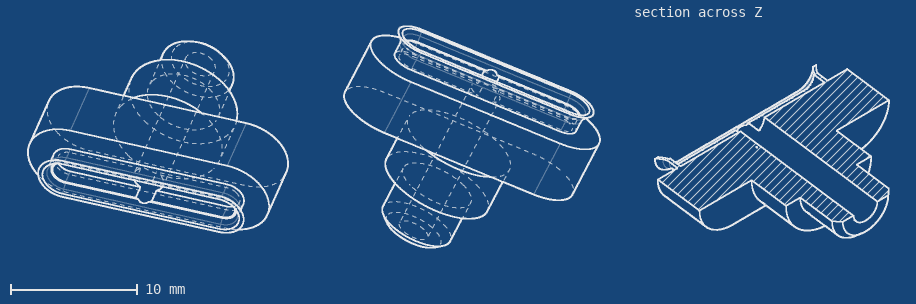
import cadquery as cq
import math


body_length = 20.0
body_height = 7.0
body_depth = 5.0
end_offset = (body_length - body_height) / 2

boss_diameter = 9.0
boss_depth = 4.1
pin_diameter = 6.0
pin_depth = 4.4
pin_chamfer = 0.6
hole_diameter = 2.5

nozzle_depth = 2.0
neck_radius = 1.42
bore_radius = 1.15
flare_angle = 40.0
flare_bend_radius = 0.85
flare_lip_depth = 0.48

pocket_radius = 1.05
ledge_depth = 0.75

body_front = nozzle_depth
body_back = body_front + body_depth
boss_back = body_back + boss_depth
pin_back = boss_back + pin_depth

bend_start = flare_lip_depth + flare_bend_radius * math.sin(math.radians(flare_angle))
bend_center_radius = neck_radius + flare_bend_radius


def rounded_slot(radius, y_start, y_end):
    """Straight slot-shaped solid between two Y positions."""
    return (
        cq.Workplane("XZ", origin=(0, y_start, 0))
        .slot2D(2 * (end_offset + radius), 2 * radius)
        .extrude(y_start - y_end)
    )


def cylinder(diameter, y_start, y_end):
    return cq.Workplane("XZ", origin=(0, y_start, 0)).circle(diameter / 2).extrude(y_start - y_end)


def flared_slot(straight_radius):
    """Slot-shaped solid from y = 0 to bend_start that narrows to straight_radius around the bend centre."""
    bend_radius = bend_center_radius - straight_radius

    def bend_point(angle):
        turn = math.radians(angle)
        y = bend_start - bend_radius * math.sin(turn)
        radius = bend_center_radius - bend_radius * math.cos(turn)
        return y, radius

    cone_y, cone_radius = bend_point(flare_angle)
    lip_radius = cone_radius + cone_y * math.tan(math.radians(flare_angle))

    def half_profile(x):
        return (
            cq.Workplane("YZ", origin=(x, 0, 0))
            .moveTo(0, 0)
            .lineTo(0, lip_radius)
            .lineTo(cone_y, cone_radius)
            .threePointArc(bend_point(flare_angle / 2), (bend_start, straight_radius))
            .lineTo(bend_start, 0)
            .close()
        )

    upper = half_profile(-end_offset).extrude(2 * end_offset)
    solid = upper.union(upper.mirror("XY"))
    for x in (-end_offset, end_offset):
        solid = solid.union(half_profile(x).revolve(360, (0, 0, 0), (1, 0, 0)))
    return solid


body = rounded_slot(body_height / 2, body_front, body_back)
boss = cylinder(boss_diameter, body_back, boss_back)
pin = cylinder(pin_diameter, boss_back, pin_back).faces(">Y").chamfer(pin_chamfer)
neck = rounded_slot(neck_radius, bend_start, body_front)
flare = flared_slot(neck_radius)

ledge_limit = rounded_slot(body_height / 2, 0, ledge_depth)
flared_bore = flared_slot(bore_radius).intersect(ledge_limit)
pocket = rounded_slot(pocket_radius, ledge_depth, body_front)
through_hole = cylinder(hole_diameter, 0, pin_back)

result = (
    body.union(boss)
    .union(pin)
    .union(neck)
    .union(flare)
    .cut(flared_bore)
    .cut(pocket)
    .cut(through_hole)
)